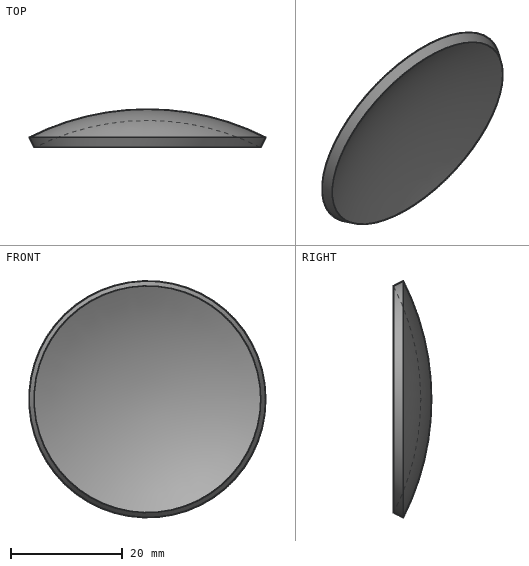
import cadquery as cq
import math

rim_diameter = 42.4
wall_thickness = 2.0
rim_half_angle = math.radians(27.0)

outer_radius = rim_diameter / 2 / math.sin(rim_half_angle)
inner_radius = outer_radius - wall_thickness
sphere_center_y = -inner_radius * math.cos(rim_half_angle)


def dome_point(radius, angle):
    """Profile point on a sphere of the given radius, at an angle from the dome axis."""
    return (radius * math.sin(angle), sphere_center_y + radius * math.cos(angle))


def make_dome():
    """Revolve the half section of the shell about the Y axis."""
    middle_angle = rim_half_angle / 2
    half_section = (
        cq.Workplane("XY")
        .moveTo(*dome_point(inner_radius, 0))
        .threePointArc(
            dome_point(inner_radius, middle_angle),
            dome_point(inner_radius, rim_half_angle),
        )
        .lineTo(*dome_point(outer_radius, rim_half_angle))
        .threePointArc(
            dome_point(outer_radius, middle_angle),
            dome_point(outer_radius, 0),
        )
        .close()
    )
    return half_section.revolve(360, (0, 0, 0), (0, 1, 0))


result = make_dome()